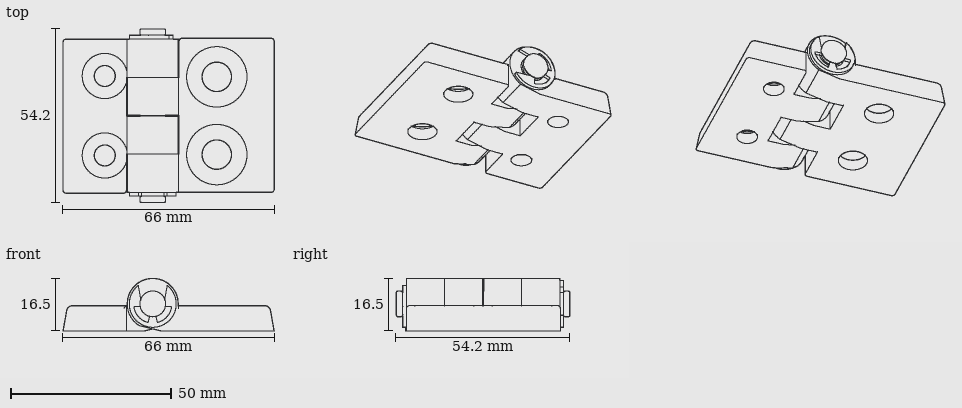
import cadquery as cq
import math


overall_width = 66.0
overall_length = 54.2
overall_height = 16.5

leaf_height = 8.0
leaf_overhang = 0.25
right_reach = 37.9
left_reach = overall_width - right_reach
end_draft = 10
end_round = 2.0
side_round = 1.0

knuckle_radius = 8.0
axis_height = overall_height - knuckle_radius
knuckle_clearance = 0.2
knuckle_split = 12.0
middle_gap = 0.25
relief_start = 2.7
relief_angle = 14

countersink_depth = 3.95
right_hole_x = 20.0
right_hole_pitch = 24.3
right_hole_radius = 4.55
right_countersink_radius = 9.45
left_hole_x = 15.0
left_hole_pitch = 24.8
left_hole_radius = 3.2
left_countersink_radius = 7.05

pin_radius = 4.0
pin_half_length = overall_length / 2
pin_head_length = 2.0
pin_edge_round = 0.5
groove_radius = 3.5
clip_thickness = 1.2
clip_radius = 7.3
mouth_flare = 10
window_radius = 6.0
window_top = -0.8
window_corner_round = 0.4
lug_half_angle = 14
rear_clip_turn = 82

barrel_half_length = pin_half_length - pin_head_length - clip_thickness
wall_x = knuckle_radius + knuckle_clearance
notched_end_y = barrel_half_length + leaf_overhang


def tan_deg(angle):
    return math.tan(math.radians(angle))


def block(x_range, y_range, z_range):
    """Axis-aligned box between the given limits."""
    corner = cq.Vector(x_range[0], y_range[0], z_range[0])
    return cq.Workplane("XY").add(
        cq.Solid.makeBox(
            x_range[1] - x_range[0], y_range[1] - y_range[0], z_range[1] - z_range[0], corner
        )
    )


def plate(reach):
    """Leaf plate with a drafted, rounded outer end and rounded sides."""
    top_end_x = reach - leaf_height * tan_deg(end_draft)
    body = (
        cq.Workplane("XZ", origin=(0, notched_end_y, 0))
        .moveTo(knuckle_radius, 0)
        .lineTo(reach, 0)
        .lineTo(top_end_x, leaf_height)
        .lineTo(knuckle_radius, leaf_height)
        .close()
        .extrude(notched_end_y + barrel_half_length)
    )
    body = body.faces(">Z").edges(">X").fillet(end_round)
    for side in (">Y", "<Y"):
        body = body.faces(side).edges("not(<Z or <X)").fillet(side_round)
    return body


def opposite_knuckle_pockets():
    """Cutters that clear the opposite leaf's knuckles; the end one rounds the notched corner."""
    x_range = (0, wall_x)
    z_range = (0, leaf_height)
    inner = block(x_range, (-knuckle_split, middle_gap / 2), z_range)
    outer = block(x_range, (knuckle_split, notched_end_y), z_range)
    round_y = notched_end_y - side_round
    round_x = wall_x + side_round
    corner = block((wall_x, round_x), (round_y, notched_end_y), z_range).cut(
        cq.Workplane("XY").center(round_x, round_y).circle(side_round).extrude(leaf_height)
    )
    return inner, outer, corner


def knuckle(y_start, y_end):
    """Round knuckle standing on the mounting face, its underside cut off by the sloped relief."""
    barrel = (
        cq.Workplane("XZ", origin=(0, y_end, axis_height))
        .circle(knuckle_radius)
        .extrude(y_end - y_start)
    )
    foot = block((0, knuckle_radius), (y_start, y_end), (0, axis_height))
    relief_rise = (relief_start + knuckle_radius) * tan_deg(relief_angle)
    relief = (
        cq.Workplane("XZ", origin=(0, y_end, 0))
        .moveTo(relief_start, 0)
        .lineTo(-knuckle_radius, relief_rise)
        .lineTo(-knuckle_radius, 0)
        .close()
        .extrude(y_end - y_start)
    )
    return barrel.union(foot).cut(relief)


def countersunk_hole(x, y, hole_radius, sink_radius):
    """Cutter for a through hole with a conical countersink in the leaf's top face."""
    return (
        cq.Workplane("XZ")
        .lineTo(hole_radius, 0)
        .lineTo(hole_radius, leaf_height - countersink_depth)
        .lineTo(sink_radius, leaf_height)
        .lineTo(0, leaf_height)
        .close()
        .revolve(360, (0, 0), (0, 1))
        .translate((x, y, 0))
    )


def leaf(reach, hole_x, hole_pitch, hole_radius, sink_radius):
    """Leaf on the +X side: plate, two knuckles, pin bore and two screw holes."""
    body = plate(reach)
    for pocket in opposite_knuckle_pockets():
        body = body.cut(pocket)
    for y in (-hole_pitch / 2, hole_pitch / 2):
        body = body.cut(countersunk_hole(hole_x, y, hole_radius, sink_radius))
    body = body.union(knuckle(-barrel_half_length, -knuckle_split))
    body = body.union(knuckle(middle_gap / 2, knuckle_split))
    bore = (
        cq.Workplane("XZ", origin=(0, notched_end_y, axis_height))
        .circle(pin_radius)
        .extrude(2 * notched_end_y)
    )
    return body.cut(bore)


def hinge_pin():
    """Pin with a rounded head at each end and a clip groove behind each head."""
    body = (
        cq.Workplane("XZ", origin=(0, barrel_half_length, axis_height))
        .circle(pin_radius)
        .extrude(2 * barrel_half_length)
    )
    for end in (-1, 1):
        neck = (
            cq.Workplane("XZ", origin=(0, end * barrel_half_length, axis_height))
            .circle(groove_radius)
            .extrude(-end * clip_thickness)
        )
        head = (
            cq.Workplane("XZ", origin=(0, end * (barrel_half_length + clip_thickness), axis_height))
            .circle(pin_radius)
            .extrude(-end * pin_head_length)
            .faces("<Y or >Y")
            .edges()
            .fillet(pin_edge_round)
        )
        body = body.union(neck).union(head)
    return body


def clip_window():
    """Cutter for the opening on the +X side of a clip, between prong, rim and bottom lug."""
    lug_angle = math.radians(lug_half_angle)
    side_angle = math.asin(-window_top / window_radius)
    middle_angle = (math.pi / 2 - lug_angle + side_angle) / 2
    return (
        cq.Workplane("XZ")
        .moveTo(0, window_top)
        .lineTo(window_radius * math.cos(side_angle), window_top)
        .threePointArc(
            (window_radius * math.cos(middle_angle), -window_radius * math.sin(middle_angle)),
            (window_radius * math.sin(lug_angle), -window_radius * math.cos(lug_angle)),
        )
        .lineTo(-window_top * math.tan(lug_angle), window_top)
        .close()
        .extrude(clip_thickness)
        .edges("|Y and >X")
        .fillet(window_corner_round)
    )


def retaining_clip(turn, y_rear):
    """E-shaped clip in the pin groove; its mouth points up, then turns about the pin axis."""
    ring = cq.Workplane("XZ").circle(clip_radius).circle(groove_radius).extrude(clip_thickness)
    mouth_half_width = groove_radius + clip_radius * tan_deg(mouth_flare)
    mouth = (
        cq.Workplane("XZ")
        .moveTo(-groove_radius, 0)
        .lineTo(groove_radius, 0)
        .lineTo(mouth_half_width, clip_radius)
        .lineTo(-mouth_half_width, clip_radius)
        .close()
        .extrude(clip_thickness)
    )
    window = clip_window()
    clip = ring.cut(mouth).cut(window).cut(window.mirror("YZ"))
    return clip.rotate((0, 0, 0), (0, 1, 0), turn).translate((0, y_rear, axis_height))


right_leaf = leaf(
    right_reach, right_hole_x, right_hole_pitch, right_hole_radius, right_countersink_radius
)
left_leaf = leaf(
    left_reach, left_hole_x, left_hole_pitch, left_hole_radius, left_countersink_radius
).rotate((0, 0, 0), (0, 0, 1), 180)
pin = hinge_pin()

clip_places = [
    (0, -barrel_half_length),
    (rear_clip_turn, barrel_half_length + clip_thickness),
]
clips = [retaining_clip(turn, y_rear) for turn, y_rear in clip_places]

bodies = [right_leaf, left_leaf, pin, *clips]
result = cq.Compound.makeCompound([body.solids().val() for body in bodies])